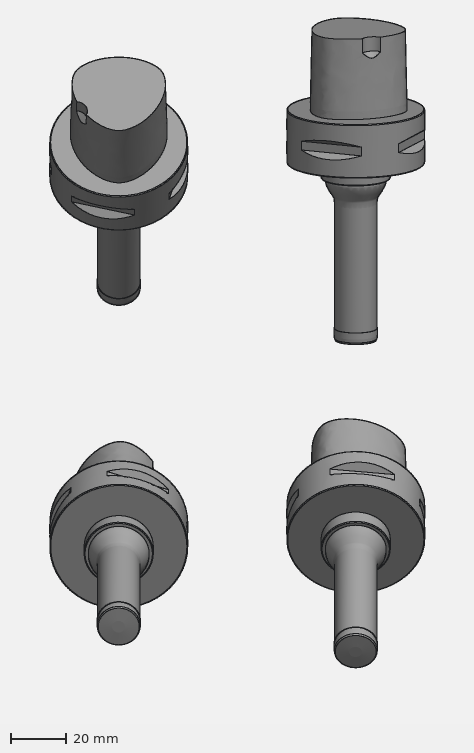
import cadquery as cq
import math

TOTAL_HEIGHT = 116.0
FLANGE_TOP = 86.2
FLANGE_HEIGHT = 20.0
FLANGE_BOTTOM = FLANGE_TOP - FLANGE_HEIGHT
COLLAR_BOTTOM = 60.4
FLARE_TOP = 59.4
CONE_TOP = 58.1
CONE_BOTTOM = 54.5
ROD_TOP = 50.9
TIP_TOP = 4.8

FLANGE_RADIUS = 50.0 / 2
COLLAR_RADIUS = 25.0 / 2
FLARE_RADIUS = 22.0 / 2
ROD_RADIUS = 15.4 / 2
CONE_ANGLE = math.radians(30)
CONE_BOTTOM_RADIUS = 8.7
CONE_TOP_RADIUS = CONE_BOTTOM_RADIUS + (CONE_TOP - CONE_BOTTOM) * math.tan(CONE_ANGLE)
EDGE_CHAMFER = 0.3

SHANK_BASE_RADIUS = 17.5
SHANK_TOP_RADIUS = 16.9
LOBE_HEIGHT = 1.2
SHANK_BAND_HEIGHT = 2.9
OUTLINE_POINTS = 48

NOTCH_RADIUS = 4.3
NOTCH_WALL_Y = -13.8
NOTCH_DEPTH = 5.3

GROOVE_COUNT = 4
GROOVE_FLOOR_DISTANCE = 22.0
GROOVE_FLOOR_HEIGHT = 3.2
GROOVE_MOUTH_HEIGHT = 7.0

TIP_RADIUS = 7.9
TIP_TAPER_TOP = 2.2
TIP_TAPER_RADIUS = 7.8
TIP_CHAMFER_TOP = 1.0
TIP_RIM_HEIGHT = 0.3
TIP_RIM_RADIUS = 7.4
TIP_FACE_RADIUS = 2.3


def lobed_section(mean_radius, height):
    """Constant-width outline with three lobes, one of them pointing to +Y."""
    points = []
    for index in range(OUTLINE_POINTS):
        angle = 2 * math.pi * index / OUTLINE_POINTS
        lobe_angle = 3 * (angle - math.pi / 2)
        reach = mean_radius + LOBE_HEIGHT * math.cos(lobe_angle)
        slope = -3 * LOBE_HEIGHT * math.sin(lobe_angle)
        x = reach * math.cos(angle) - slope * math.sin(angle)
        y = reach * math.sin(angle) + slope * math.cos(angle)
        points.append((x, y))
    return cq.Workplane("XY").workplane(offset=height).spline(points, periodic=True).close()


def make_shank():
    """Straight lobed band on the flange, tapering above it up to the top face."""
    taper_start = FLANGE_TOP + SHANK_BAND_HEIGHT
    band = lobed_section(SHANK_BASE_RADIUS, FLANGE_TOP).extrude(SHANK_BAND_HEIGHT)
    lower_wire = lobed_section(SHANK_BASE_RADIUS, taper_start).wires().val()
    upper_wire = lobed_section(SHANK_TOP_RADIUS, TOTAL_HEIGHT).wires().val()
    taper = cq.Workplane(cq.Solid.makeLoft([lower_wire, upper_wire]))
    return band.union(taper).cut(make_notch())


def make_notch():
    """Vertical drill shape with a 45 degree point, breaking out of the -Y side."""
    shoulder = TOTAL_HEIGHT - NOTCH_DEPTH
    drill = (
        cq.Workplane("XZ")
        .moveTo(0, TOTAL_HEIGHT)
        .lineTo(NOTCH_RADIUS, TOTAL_HEIGHT)
        .lineTo(NOTCH_RADIUS, shoulder)
        .lineTo(0, shoulder - NOTCH_RADIUS)
        .close()
        .revolve()
    )
    return drill.translate((0, NOTCH_WALL_Y - NOTCH_RADIUS, 0))


def make_flange():
    """Chamfered disc with a tapered groove at each diagonal."""
    flange = (
        cq.Workplane("XY")
        .workplane(offset=FLANGE_BOTTOM)
        .circle(FLANGE_RADIUS)
        .extrude(FLANGE_HEIGHT)
        .edges()
        .chamfer(EDGE_CHAMFER)
    )
    middle = FLANGE_BOTTOM + FLANGE_HEIGHT / 2
    floor_half = GROOVE_FLOOR_HEIGHT / 2
    mouth_half = GROOVE_MOUTH_HEIGHT / 2
    groove = (
        cq.Workplane("XZ")
        .moveTo(GROOVE_FLOOR_DISTANCE, middle - floor_half)
        .lineTo(FLANGE_RADIUS, middle - mouth_half)
        .lineTo(FLANGE_RADIUS, middle + mouth_half)
        .lineTo(GROOVE_FLOOR_DISTANCE, middle + floor_half)
        .close()
        .extrude(FLANGE_RADIUS, both=True)
    )
    spacing = 360 / GROOVE_COUNT
    for index in range(GROOVE_COUNT):
        turn = spacing * (index + 0.5)
        flange = flange.cut(groove.rotate((0, 0, 0), (0, 0, 1), turn))
    return flange


def make_stem():
    """Collar, smoothly flared cone and long rod, turned about the vertical axis."""
    flare_points = [
        (CONE_TOP_RADIUS, CONE_TOP),
        (CONE_BOTTOM_RADIUS, CONE_BOTTOM),
        (ROD_RADIUS, ROD_TOP),
    ]
    down = (0, -1)
    return (
        cq.Workplane("XZ")
        .moveTo(0, FLANGE_BOTTOM)
        .lineTo(COLLAR_RADIUS, FLANGE_BOTTOM)
        .lineTo(COLLAR_RADIUS, COLLAR_BOTTOM + EDGE_CHAMFER)
        .lineTo(COLLAR_RADIUS - EDGE_CHAMFER, COLLAR_BOTTOM)
        .lineTo(FLARE_RADIUS, COLLAR_BOTTOM)
        .lineTo(FLARE_RADIUS, FLARE_TOP)
        .spline(flare_points, tangents=[down, down], includeCurrent=True)
        .lineTo(ROD_RADIUS, TIP_TOP)
        .lineTo(0, TIP_TOP)
        .close()
        .revolve()
    )


def make_holder():
    return make_flange().union(make_shank()).union(make_stem()).solids()


def make_tip():
    """Short round head on the rod end, tapering to a bevelled rim and a shallow cone cut flat at the end."""
    return (
        cq.Workplane("XZ")
        .moveTo(0, TIP_TOP)
        .lineTo(TIP_RADIUS, TIP_TOP)
        .lineTo(TIP_RADIUS, TIP_TAPER_TOP)
        .lineTo(TIP_TAPER_RADIUS, TIP_CHAMFER_TOP)
        .lineTo(TIP_RIM_RADIUS, TIP_RIM_HEIGHT)
        .lineTo(TIP_FACE_RADIUS, 0)
        .lineTo(0, 0)
        .close()
        .revolve()
    )


holder = make_holder()
tip = make_tip()
result = cq.Compound.makeCompound([holder.val(), tip.val()])